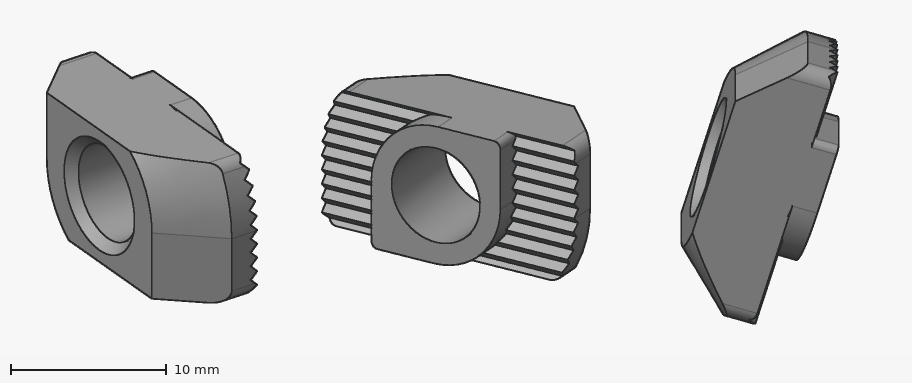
import cadquery as cq
import math

length = 19.0
height = 9.7
depth = 7.3
half_length = length / 2
half_height = height / 2

face_half_length = 5.97
taper_depth = 3.8
corner_radius = 1.0

tooth_pitch = 1.0
tooth_depth = tooth_pitch / 2
tooth_tip_y = 5.8

boss_half_width = half_height
boss_arc_offset = 0.15
boss_corner_radius = 0.5

hole_diameter = 6.65
countersink_diameter = 7.98


def extrude_back(sketch, start, end):
    """Extrude an XZ-plane sketch from Y = start to Y = end."""
    return sketch.extrude(start - end).translate((0, start, 0))


def make_plate():
    """Plate with two square corners and two corners swept by the turning radius."""
    arc_end_x = math.sqrt(half_length**2 - half_height**2)
    mid_angle = math.asin(half_height / half_length) / 2
    arc_mid_x = half_length * math.cos(mid_angle)
    arc_mid_z = half_length * math.sin(mid_angle)
    outline = (
        cq.Workplane("XZ")
        .moveTo(half_length, 0)
        .threePointArc((arc_mid_x, arc_mid_z), (arc_end_x, half_height))
        .lineTo(-half_length, half_height)
        .lineTo(-half_length, 0)
        .threePointArc((-arc_mid_x, -arc_mid_z), (-arc_end_x, -half_height))
        .lineTo(half_length, -half_height)
        .close()
    )
    return extrude_back(outline, 0, tooth_tip_y).edges("|Y").fillet(corner_radius)


def taper_profile():
    """Section of one tapered half of the plate, from the hole axis outwards."""
    return (
        cq.Workplane("XY")
        .lineTo(face_half_length, 0)
        .lineTo(half_length, taper_depth)
        .lineTo(half_length, tooth_tip_y)
        .lineTo(0, tooth_tip_y)
        .close()
    )


def make_taper_envelope():
    """Flat tapers at the square corners, conical tapers at the swept ones."""
    flat_side = taper_profile().extrude(-half_height)
    round_side = taper_profile().revolve(90, (0, 0, 0), (0, -1, 0))
    half = flat_side.union(round_side)
    return half.union(half.rotate((0, 0, 0), (0, 1, 0), 180))


def cut_teeth(body):
    """V-grooves along X across the back of the plate, with a tip on the mid-plane."""
    groove_pairs = math.ceil(half_height / tooth_pitch)
    for index in range(-groove_pairs, groove_pairs):
        valley_z = (index + 0.5) * tooth_pitch
        groove = (
            cq.Workplane("YZ")
            .moveTo(tooth_tip_y, valley_z - tooth_pitch / 2)
            .lineTo(tooth_tip_y - tooth_depth, valley_z)
            .lineTo(tooth_tip_y, valley_z + tooth_pitch / 2)
            .close()
            .extrude(half_length, both=True)
        )
        body = body.cut(groove)
    return body


def make_boss():
    """Round boss with two opposite square corners that stop the turning motion."""
    start = tooth_tip_y - tooth_depth
    arc_radius = boss_half_width + boss_arc_offset
    outline = (
        cq.Workplane("XZ")
        .moveTo(boss_half_width, -boss_arc_offset)
        .radiusArc((-boss_arc_offset, boss_half_width), -arc_radius)
        .lineTo(-boss_half_width, boss_half_width)
        .lineTo(-boss_half_width, boss_arc_offset)
        .radiusArc((boss_arc_offset, -boss_half_width), -arc_radius)
        .lineTo(boss_half_width, -boss_half_width)
        .close()
    )
    boss = extrude_back(outline, start, depth)
    for side in (-1, 1):
        corner = (side * boss_half_width, (start + depth) / 2, -side * boss_half_width)
        boss = boss.edges(cq.selectors.NearestToPointSelector(corner)).fillet(boss_corner_radius)
    return boss


def cut_hole(body):
    """Through hole along Y with a 45 degree countersink on the front face."""
    hole_radius = hole_diameter / 2
    countersink_radius = countersink_diameter / 2
    profile = (
        cq.Workplane("XY")
        .lineTo(countersink_radius, 0)
        .lineTo(hole_radius, countersink_radius - hole_radius)
        .lineTo(hole_radius, depth)
        .lineTo(0, depth)
        .close()
    )
    return body.cut(profile.revolve(360, (0, 0, 0), (0, 1, 0)))


plate = cut_teeth(make_plate().intersect(make_taper_envelope()))
result = cut_hole(plate.union(make_boss()))